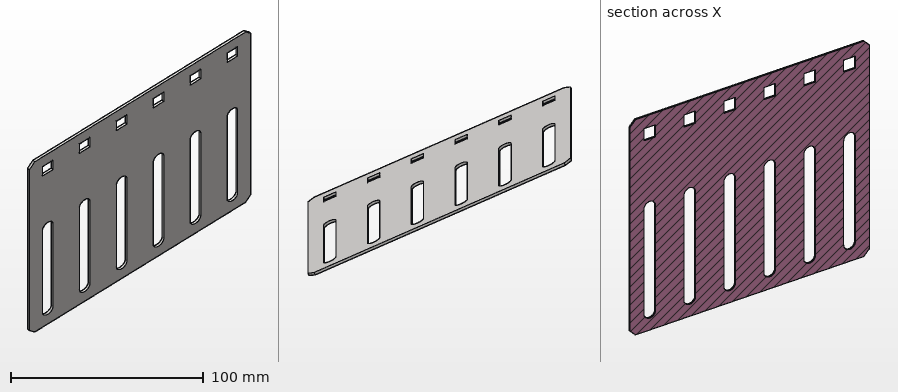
import cadquery as cq

thickness = 1.5
width = 150.0
height = 130.0
corner_chamfer = 3.6

column_count = 6
column_pitch = width / column_count
square_side = 7.0
square_top_margin = 7.5
slot_width = 7.0
slot_length = 70.0
slot_bottom_margin = 7.5

square_z = height / 2 - square_top_margin - square_side / 2
slot_z = -height / 2 + slot_bottom_margin + slot_length / 2
column_centers = [(i - (column_count - 1) / 2) * column_pitch for i in range(column_count)]


def make_plate():
    """Plate centred on the origin with its four corners cut off."""
    return cq.Workplane("XY").box(thickness, width, height).edges("|X").chamfer(corner_chamfer)


def cut_square_holes(plate):
    """Row of square through holes near the top edge."""
    centers = [(y, square_z) for y in column_centers]
    holes = (
        cq.Workplane("YZ")
        .pushPoints(centers)
        .rect(square_side, square_side)
        .extrude(thickness, both=True)
    )
    return plate.cut(holes)


def cut_slots(plate):
    """Row of upright round-ended through slots near the bottom edge."""
    centers = [(y, slot_z) for y in column_centers]
    slots = (
        cq.Workplane("YZ")
        .pushPoints(centers)
        .slot2D(slot_length, slot_width, angle=90)
        .extrude(thickness, both=True)
    )
    return plate.cut(slots)


result = cut_slots(cut_square_holes(make_plate()))